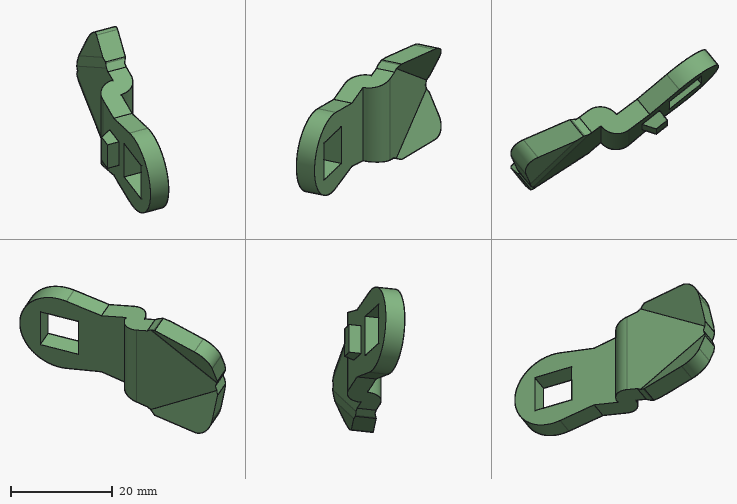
import cadquery as cq
import math

thickness = 3.97
height = 21.05
half_height = height / 2
left_end = -35.7

hub_radius = 8.5
square_hole = 8.13

neck_x, neck_z = -9.0, 6.98
shoulder_start = (-20.5, 9.45)
shoulder_middle = (-21.2, 9.9)
shoulder_end = (-22.1, 10.4)
peak_x = -22.35
corner_x, corner_z = -35.35, 9.8
corner_radius = 3.75
notch_x = -35.0
notch_half_height = 1.75

step_start_x = -18.2
step_end_x = step_start_x + thickness

fold_point = (-35.4, 0, 0.93)
fold_slope = 32.3
wing_bend = 30.0

lug_left, lug_tip_left, lug_right = -10.95, -9.35, -6.55
lug_width = 5.75
lug_height = 2.47

oversize = 88.3


def mirror_z(point):
    return point[0], -point[1]


def outline_prism():
    """Outline in the XZ plane, run straight through along Y."""
    neck_distance = math.hypot(neck_x, neck_z)
    tangent_angle = math.atan2(neck_z, neck_x) - math.acos(hub_radius / neck_distance)
    tangent = (hub_radius * math.cos(tangent_angle), hub_radius * math.sin(tangent_angle))
    neck = (neck_x, neck_z)
    peak = (peak_x, half_height)
    corner = (corner_x, corner_z)
    notch_edge = (left_end, notch_half_height)
    prism = (
        cq.Workplane("XZ")
        .moveTo(*mirror_z(tangent))
        .threePointArc((hub_radius, 0), tangent)
        .lineTo(*neck)
        .lineTo(*shoulder_start)
        .threePointArc(shoulder_middle, shoulder_end)
        .lineTo(*peak)
        .lineTo(*corner)
        .lineTo(*notch_edge)
        .lineTo(notch_x, 0)
        .lineTo(*mirror_z(notch_edge))
        .lineTo(*mirror_z(corner))
        .lineTo(*mirror_z(peak))
        .lineTo(*mirror_z(shoulder_end))
        .threePointArc(mirror_z(shoulder_middle), mirror_z(shoulder_start))
        .lineTo(*mirror_z(neck))
        .close()
        .extrude(oversize / 2, both=True)
    )
    for z in (corner_z, -corner_z):
        corner_edge = cq.selectors.NearestToPointSelector((corner_x, 0, z))
        prism = prism.edges("|Y").edges(corner_edge).fillet(corner_radius)
    return prism


def stepped_plate():
    """Two flat plates joined by the S-shaped step, oversize in X and Z."""
    diagonal = thickness * math.sqrt(0.5)
    return (
        cq.Workplane("XY")
        .moveTo(-oversize, 0)
        .lineTo(step_start_x, 0)
        .threePointArc((step_end_x - diagonal, -diagonal), (step_end_x, -thickness))
        .lineTo(oversize, -thickness)
        .lineTo(oversize, 0)
        .lineTo(step_end_x, 0)
        .threePointArc((step_start_x + diagonal, diagonal), (step_start_x, thickness))
        .lineTo(-oversize, thickness)
        .close()
        .extrude(oversize / 2, both=True)
    )


def fold_section():
    """Section across the upper fold: local x points outward, local y along +Y."""
    slope = math.radians(fold_slope)
    outward = (-math.sin(slope), 0, math.cos(slope))
    along_fold = (-math.cos(slope), 0, -math.sin(slope))
    return cq.Workplane(cq.Plane(fold_point, outward, along_fold))


def upper_wing():
    """Tilted plate hinged on the rear fold edge, with a bend at the front."""
    bend = math.radians(wing_bend)
    reach = oversize / 4
    bend_end = (thickness * math.sin(bend), thickness * (1 - math.cos(bend)))
    run = (reach * math.cos(bend), reach * math.sin(bend))
    return (
        fold_section()
        .lineTo(*bend_end)
        .lineTo(bend_end[0] + run[0], bend_end[1] + run[1])
        .lineTo(run[0], thickness + run[1])
        .lineTo(0, thickness)
        .close()
        .extrude(oversize / 2, both=True)
    )


def beyond_upper_fold():
    """Space on the outer side of the upper fold line."""
    return fold_section().rect(oversize, oversize).extrude(oversize, both=True).translate(
        fold_section().plane.xDir * (oversize / 2)
    )


def lug():
    return (
        cq.Workplane("XY")
        .moveTo(lug_left, -thickness)
        .lineTo(lug_tip_left, -thickness - lug_height)
        .lineTo(lug_right, -thickness - lug_height)
        .lineTo(lug_right, -thickness)
        .close()
        .extrude(lug_width / 2, both=True)
    )


outline = outline_prism()
outer_space = beyond_upper_fold()
body = stepped_plate().intersect(outline)
body = body.cut(outer_space).cut(outer_space.mirror("XY"))

wing = upper_wing().intersect(outline)
body = body.union(wing).union(wing.mirror("XY"))

hole = cq.Workplane("XZ").rect(square_hole, square_hole).extrude(oversize / 2, both=True)
result = body.cut(hole).union(lug())